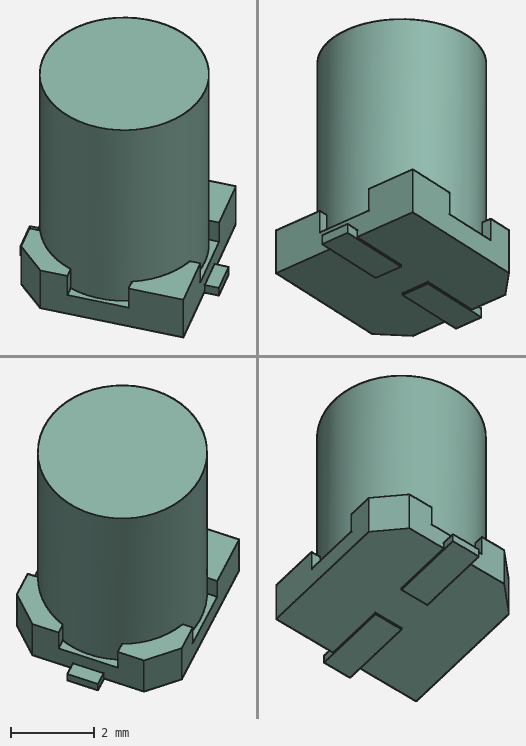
import cadquery as cq

total_height = 6.15
lead_span = 5.0

can_diameter = 4.07

base_side = 4.29
base_bottom = 0.05
base_top = 1.265
corner_cut = 0.695
notch_width = 1.54
notch_floor = 0.65

lead_length = 2.0
lead_width = 0.8
lead_thickness = 0.25


def make_can():
    """Plain cylinder standing on the floor of the base's socket."""
    return (
        cq.Workplane("XY", origin=(0, 0, notch_floor))
        .circle(can_diameter / 2)
        .extrude(total_height - notch_floor)
    )


def make_lead(side):
    """Flat strip that reaches out past the base; side is -1 for -X, +1 for +X."""
    center_x = side * (lead_span - lead_length) / 2
    return (
        cq.Workplane("XY", origin=(center_x, 0, 0))
        .rect(lead_length, lead_width)
        .extrude(lead_thickness)
    )


def make_base(can, leads):
    """Square base with cut -X corners, a notch in each wall, a can socket and lead recesses."""
    base = (
        cq.Workplane("XY", origin=(0, 0, base_bottom))
        .rect(base_side, base_side)
        .extrude(base_top - base_bottom)
        .edges("|Z and <X")
        .chamfer(corner_cut)
    )
    for slot_x, slot_y in [(base_side, notch_width), (notch_width, base_side)]:
        slot = (
            cq.Workplane("XY", origin=(0, 0, notch_floor))
            .rect(slot_x, slot_y)
            .extrude(base_top - notch_floor)
        )
        base = base.cut(slot)
    for seated_body in [can, *leads]:
        base = base.cut(seated_body)
    return base


can = make_can()
leads = [make_lead(side) for side in (-1, 1)]
base = make_base(can, leads)

result = cq.Compound.makeCompound([base.val(), can.val(), *[lead.val() for lead in leads]])